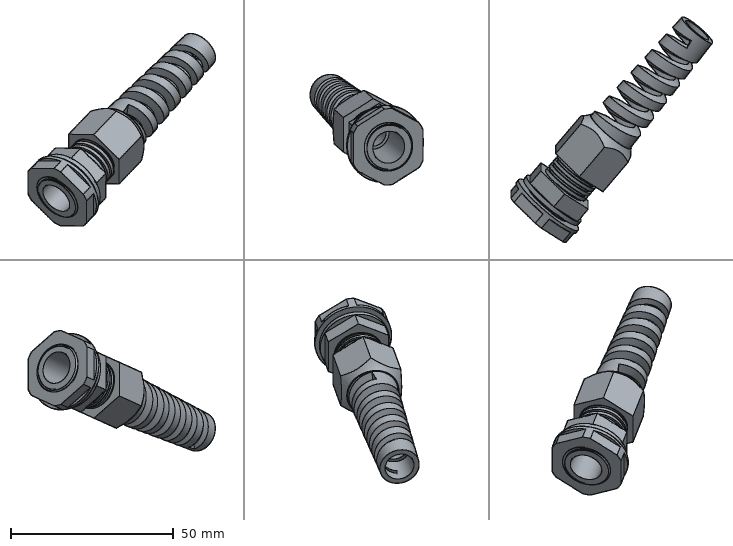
import cadquery as cq
import math


LOCKNUT_START = 0.55
LOCKNUT_FLANGE_START = 4.3
LOCKNUT_END = 5.5
GASKET_START = 6.55
GASKET_END = 8.0
HEX_END = 13.2
CAP_START = 20.25
SOCKET_END = 29.25
CAP_END = 35.4
TIP = 77.0

HEX_FLATS = 18.9
LOCKNUT_FLATS = 21.95
LOCKNUT_RADIUS = 12.0
HEX_CORNER_RADIUS = HEX_FLATS / math.sqrt(3)

BODY_BORE_RADIUS = 5.0
SEAL_BORE_RADIUS = 4.1
CAP_BORE_RADIUS = 4.55

THREAD_RADIUS = 7.6
THREAD_PITCH = 1.9
THREAD_DEPTH = 0.8
THREAD_GROOVE_WIDTH = 0.8
THREAD_END_CHAMFER = 0.5
THREAD_START = -1.85
THREAD_START_ANGLE = 180.0
THREAD_TURNS = 14

SHOULDER_TIP_RADIUS = 8.2
SHOULDER_START = 32.35
SHOULDER_ARC_RADIUS = 12.3
COIL_BASE_RADIUS = 7.85
COIL_TIP_RADIUS = 6.15
SLOT_PITCH = 6.5
SLOT_TURNS = 5.5
SLOT_START = 37.5
SLOT_START_ANGLE = 270.0
SLOT_BORE_WIDTH = 1.5
SLOT_FLANK_ANGLE = 20.0

CUT_MARGIN = 0.5


def cylinder(radius, start, end):
    return cq.Workplane("XY").workplane(offset=start).circle(radius).extrude(end - start)


def hexagon(flats, start, end):
    """Hexagonal prism with two of its flats facing +X and -X."""
    corner_diameter = 2 * flats / math.sqrt(3)
    prism = cq.Workplane("XY").workplane(offset=start).polygon(6, corner_diameter).extrude(end - start)
    return prism.rotate((0, 0, 0), (0, 0, 1), 30)


def helical_cutter(inner_radius, outer_radius, inner_width, outer_width, pitch, turns, start, start_angle):
    """Right-handed helical bar of trapezoidal section, square to its path at both ends."""
    middle_radius = (inner_radius + outer_radius) / 2
    path = cq.Wire.makeHelix(pitch, pitch * turns, middle_radius)
    section_plane = cq.Plane(
        origin=(middle_radius, 0, 0),
        xDir=(1, 0, 0),
        normal=(0, 2 * math.pi * middle_radius, pitch),
    )
    half_depth = (outer_radius - inner_radius) / 2
    section = cq.Workplane(section_plane).polyline([
        (-half_depth, -inner_width / 2),
        (half_depth, -outer_width / 2),
        (half_depth, outer_width / 2),
        (-half_depth, inner_width / 2),
    ]).close()
    bar = section.sweep(cq.Workplane(obj=path), isFrenet=True)
    return bar.rotate((0, 0, 0), (0, 0, 1), start_angle).translate((0, 0, start))


def lay_along_y(body):
    return body.rotate((0, 0, 0), (1, 0, 0), -90).solids()


def make_locknut():
    wrench_part = cylinder(LOCKNUT_RADIUS, LOCKNUT_START, LOCKNUT_FLANGE_START)
    wrench_part = wrench_part.intersect(hexagon(LOCKNUT_FLATS, LOCKNUT_START, LOCKNUT_FLANGE_START))
    flange = cylinder(LOCKNUT_RADIUS, LOCKNUT_FLANGE_START, LOCKNUT_END)
    return wrench_part.union(flange).cut(cylinder(THREAD_RADIUS, LOCKNUT_START, LOCKNUT_END))


def make_gasket():
    ring = cylinder(HEX_CORNER_RADIUS, GASKET_START, GASKET_END)
    return ring.cut(cylinder(THREAD_RADIUS, GASKET_START, GASKET_END))


def make_body():
    groove = helical_cutter(
        THREAD_RADIUS - THREAD_DEPTH,
        THREAD_RADIUS + CUT_MARGIN,
        THREAD_GROOVE_WIDTH,
        THREAD_GROOVE_WIDTH,
        THREAD_PITCH,
        THREAD_TURNS,
        THREAD_START,
        THREAD_START_ANGLE,
    )
    shank = cylinder(THREAD_RADIUS, 0, SOCKET_END)
    shank = shank.faces("<Z").chamfer(THREAD_END_CHAMFER).cut(groove)
    bore = cylinder(BODY_BORE_RADIUS, 0, SOCKET_END)
    return shank.union(hexagon(HEX_FLATS, GASKET_END, HEX_END)).cut(bore)


def make_seal():
    ring = cylinder(BODY_BORE_RADIUS, CAP_START, SOCKET_END)
    return ring.cut(cylinder(SEAL_BORE_RADIUS, CAP_START, SOCKET_END))


def make_cap_nut():
    """Hexagonal part of the cap with a round, concave shoulder."""
    envelope = (
        cq.Workplane("XZ")
        .moveTo(0, CAP_START)
        .lineTo(HEX_CORNER_RADIUS, CAP_START)
        .lineTo(HEX_CORNER_RADIUS, SHOULDER_START)
        .radiusArc((SHOULDER_TIP_RADIUS, CAP_END), SHOULDER_ARC_RADIUS)
        .lineTo(0, CAP_END)
        .close()
        .revolve(360, (0, 0, 0), (0, 1, 0))
    )
    nut = hexagon(HEX_FLATS, CAP_START, CAP_END).intersect(envelope)
    return nut.cut(cylinder(THREAD_RADIUS, CAP_START, SOCKET_END))


def make_coil_slot():
    """Cutter for the helical slot that opens the coil down to its bore."""
    inner_radius = CAP_BORE_RADIUS - CUT_MARGIN
    outer_radius = COIL_BASE_RADIUS + CUT_MARGIN
    flank_slope = 2 * math.tan(math.radians(SLOT_FLANK_ANGLE))
    return helical_cutter(
        inner_radius,
        outer_radius,
        SLOT_BORE_WIDTH - flank_slope * CUT_MARGIN,
        SLOT_BORE_WIDTH + flank_slope * (outer_radius - CAP_BORE_RADIUS),
        SLOT_PITCH,
        SLOT_TURNS,
        SLOT_START,
        SLOT_START_ANGLE,
    )


def make_cap():
    sleeve = (
        cq.Workplane("XY")
        .workplane(offset=CAP_END)
        .circle(COIL_BASE_RADIUS)
        .workplane(offset=TIP - CAP_END)
        .circle(COIL_TIP_RADIUS)
        .loft()
    )
    coil = sleeve.cut(make_coil_slot())
    return make_cap_nut().union(coil).cut(cylinder(CAP_BORE_RADIUS, SOCKET_END, TIP))


locknut = lay_along_y(make_locknut())
gasket = lay_along_y(make_gasket())
body = lay_along_y(make_body())
seal = lay_along_y(make_seal())
cap = lay_along_y(make_cap())

result = cq.Compound.makeCompound([locknut.val(), gasket.val(), body.val(), seal.val(), cap.val()])